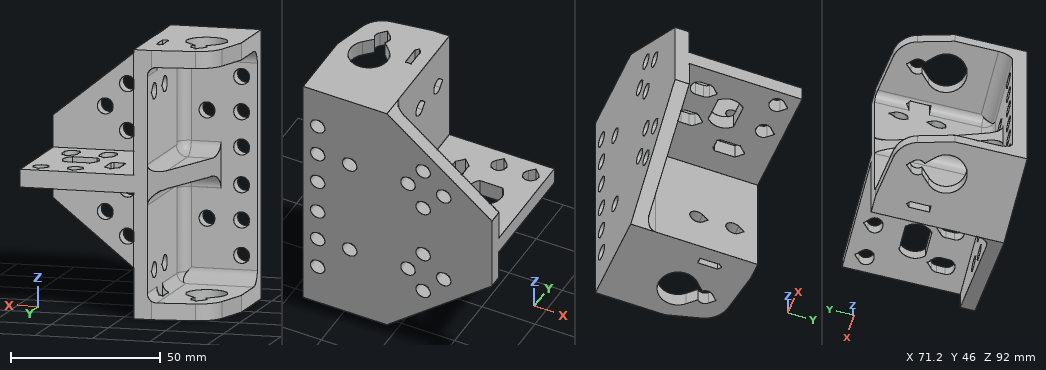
import cadquery as cq
import math

LENGTH = 71.2
DEPTH = 46.0
HEIGHT = 92.0
MID_Z = HEIGHT / 2

PLATE_THICKNESS = 5.15
FLANGE_THICKNESS = 5.8
SHELF_THICKNESS = 6.2
WEB_LEFT_X = 26.9
WEB_RIGHT_X = 31.65
FLANGE_FILLET = 3.2
INNER_FILLET = 3.9
FOOT_FILLET = 4.8

NOSE_HEIGHT = 28.3

FLANGE_SIDE_Y = 25.1
FLANGE_CORNER = (4.9, 42.9)
FLANGE_BACK_X = 25.5
FLANGE_CORNER_RADIUS = 9.2

RIB_FOOT_X = 12.7

HOLE_RADIUS = 2.71
HOLE_PITCH = 12.05
HOLE_COLUMN_X = 5.5
HOLE_GROUP_Z = 18.5
DIAMOND_X = 45.3
DIAMOND_Z = 18.0
DIAMOND_RADIUS = 8.0
DIAMOND_RIGHT_X = 53.0
DIAMOND_LEFT_X = 39.6

KEYHOLE_X = 12.05
KEYHOLE_Y = 25.0
KEYHOLE_RADIUS = 7.0
KEYHOLE_TOP_Y = 34.9

TIE_SLOT_WIDTH = 2.1
TIE_SLOT_Y = (27.05, 34.1)

WEB_HOLE_YS = (24.1, 37.2)
WEB_HOLE_INSET_Z = 15.5

SHELF_HOLE_XS = (53.8, 65.8)
SHELF_HOLE_Y = 39.1
SHELF_SLOT_XS = (49.6, 62.6)
SHELF_SLOT_YS = (12.0, 14.9)
SHELF_TIE_X = 42.4
SHELF_TIE_WIDTH = 5.1
SHELF_TIE_Y = (26.1, 34.3)
SHELF_TIE_CHAMFER = 0.8
WINDOW_CENTER = (56.0, 24.5)
WINDOW_RADIUS = 6.3
WINDOW_HEIGHT = 9.1


def teardrop(plane, center, radius):
    """Round hole along the plane's normal, closed toward local +y by a 45 degree roof."""
    x, y = center
    offset = radius * math.sqrt(0.5)
    outline = (
        cq.Workplane(plane)
        .moveTo(x - offset, y + offset)
        .threePointArc((x, y - radius), (x + offset, y + offset))
        .lineTo(x, y + 2 * offset)
        .close()
    )
    return outline.extrude(HEIGHT)


def roofed_slot(center_x, width, y_range):
    """Slot along Z with a flat end at its low Y and a 45 degree roof at its high Y."""
    low, high = y_range
    half = width / 2
    points = [
        (center_x - half, low),
        (center_x + half, low),
        (center_x + half, high),
        (center_x, high + half),
        (center_x - half, high),
    ]
    return cq.Workplane("XY").polyline(points).close().extrude(HEIGHT)


def block():
    """Solid that has the tapered outline along Y and the flange outline along Z."""
    nose = NOSE_HEIGHT / 2
    front_outline = [
        (0, 0),
        (WEB_RIGHT_X, 0),
        (LENGTH, MID_Z - nose),
        (LENGTH, MID_Z + nose),
        (WEB_RIGHT_X, HEIGHT),
        (0, HEIGHT),
    ]
    top_outline = [
        (0, 0),
        (LENGTH, 0),
        (LENGTH, DEPTH),
        (FLANGE_BACK_X, DEPTH),
        FLANGE_CORNER,
        (0, FLANGE_SIDE_Y),
    ]
    front_solid = cq.Workplane("XZ").polyline(front_outline).close().extrude(-DEPTH)
    top_solid = cq.Workplane("XY").polyline(top_outline).close().extrude(HEIGHT)
    corner = cq.selectors.NearestToPointSelector((*FLANGE_CORNER, MID_Z))
    return front_solid.intersect(top_solid.edges(corner).fillet(FLANGE_CORNER_RADIUS))


def left_pocket():
    """Upper pocket between the rib and the top flange, open to -X and +Y."""
    low = MID_Z + SHELF_THICKNESS / 2
    high = HEIGHT - FLANGE_THICKNESS
    size = (2 * WEB_LEFT_X, 2 * (DEPTH - PLATE_THICKNESS), high - low)
    space = cq.Workplane("XY").box(*size, centered=(True, False, False))
    space = space.translate((0, PLATE_THICKNESS, low))

    rounded = space.edges("<Y and <Z").fillet(FOOT_FILLET)
    rounded = rounded.edges(">X and (<Z or <Y)").fillet(INNER_FILLET)
    rounded = rounded.edges(">Z and (>X or <Y)").fillet(FLANGE_FILLET)

    return rounded.intersect(space.edges("<Y and >Z").fillet(FOOT_FILLET))


def right_pocket():
    """Upper space to the right of the web, above the shelf."""
    low = MID_Z + SHELF_THICKNESS / 2
    size = (LENGTH, DEPTH, HEIGHT)
    pocket = cq.Workplane("XY").box(*size, centered=False)
    pocket = pocket.edges("<X and <Y").fillet(INNER_FILLET)
    return pocket.translate((WEB_RIGHT_X, PLATE_THICKNESS, low))


def rib_relief():
    """Wedge that slopes the free end of the rib from the plate back to the web."""
    reach = SHELF_THICKNESS + 2 * FOOT_FILLET
    points = [
        (0, PLATE_THICKNESS),
        (RIB_FOOT_X, PLATE_THICKNESS),
        (WEB_LEFT_X, DEPTH),
        (0, DEPTH),
    ]
    wedge = cq.Workplane("XY").polyline(points).close().extrude(reach)
    return wedge.translate((0, 0, MID_Z - reach / 2))


def plate_holes():
    """Round holes through the front plate, mirrored about mid height."""
    upper = [(HOLE_COLUMN_X, HOLE_GROUP_Z + i * HOLE_PITCH) for i in (-1, 0, 1)]
    upper += [
        (HOLE_COLUMN_X + HOLE_PITCH, HOLE_GROUP_Z),
        (DIAMOND_LEFT_X, HOLE_GROUP_Z),
        (DIAMOND_RIGHT_X, DIAMOND_Z),
        (DIAMOND_X, DIAMOND_Z - DIAMOND_RADIUS),
        (DIAMOND_X, DIAMOND_Z + DIAMOND_RADIUS),
    ]
    points = [(x, MID_Z + side * z) for x, z in upper for side in (-1, 1)]
    return cq.Workplane("XZ").pushPoints(points).circle(HOLE_RADIUS).extrude(-PLATE_THICKNESS - FOOT_FILLET)


def keyhole():
    wide = teardrop("XY", (KEYHOLE_X, KEYHOLE_Y), KEYHOLE_RADIUS)
    return wide.union(teardrop("XY", (KEYHOLE_X, KEYHOLE_TOP_Y), HOLE_RADIUS))


def flange_tie_slots():
    """Slots against the web through both flanges and their fillets, but not through the rib."""
    slot = roofed_slot(WEB_LEFT_X - TIE_SLOT_WIDTH / 2, TIE_SLOT_WIDTH, TIE_SLOT_Y)
    depth = FLANGE_THICKNESS + FLANGE_FILLET
    rib_zone = cq.Workplane("XY").box(LENGTH, DEPTH, HEIGHT - 2 * depth, centered=False)
    return slot.cut(rib_zone.translate((0, 0, depth)))


def web_holes():
    """Teardrop holes along X near the top and bottom of the web."""
    plane = cq.Plane(origin=(0, 0, 0), xDir=(0, 0, -1), normal=(1, 0, 0))
    holes = cq.Workplane("XY")
    for y in WEB_HOLE_YS:
        for z in (WEB_HOLE_INSET_Z, HEIGHT - WEB_HOLE_INSET_Z):
            holes = holes.add(teardrop(plane, (-z, y), HOLE_RADIUS))
    return holes.combine()


def shelf_holes():
    holes = cq.Workplane("XY")
    for x in SHELF_HOLE_XS:
        holes = holes.add(teardrop("XY", (x, SHELF_HOLE_Y), HOLE_RADIUS))
    return holes.combine()


def shelf_slots():
    """Slots with a round end at low Y and a teardrop end at high Y."""
    low, high = SHELF_SLOT_YS
    points = [(x, (low + high) / 2) for x in SHELF_SLOT_XS]
    slots = cq.Workplane("XY").pushPoints(points).slot2D(high - low + 2 * HOLE_RADIUS, 2 * HOLE_RADIUS, 90)
    slots = slots.extrude(HEIGHT)
    for x in SHELF_SLOT_XS:
        slots = slots.union(teardrop("XY", (x, high), HOLE_RADIUS))
    return slots


def shelf_tie_slot():
    slot = roofed_slot(SHELF_TIE_X, SHELF_TIE_WIDTH, SHELF_TIE_Y)
    return slot.edges("|Z and <Y").chamfer(SHELF_TIE_CHAMFER)


def shelf_window():
    """Round window with its -Y and +Y sides cut flat."""
    center = cq.Workplane("XY").center(*WINDOW_CENTER)
    disc = center.circle(WINDOW_RADIUS).extrude(HEIGHT)
    flats = center.rect(2 * WINDOW_RADIUS, WINDOW_HEIGHT).extrude(HEIGHT)
    return disc.intersect(flats)


result = block()

for pocket in (left_pocket(), right_pocket()):
    mirrored = pocket.mirror("XY").translate((0, 0, HEIGHT))
    result = result.cut(pocket).cut(mirrored)

result = result.cut(rib_relief()).cut(plate_holes())
result = result.cut(keyhole()).cut(flange_tie_slots()).cut(web_holes())
result = result.cut(shelf_holes()).cut(shelf_slots()).cut(shelf_tie_slot()).cut(shelf_window())